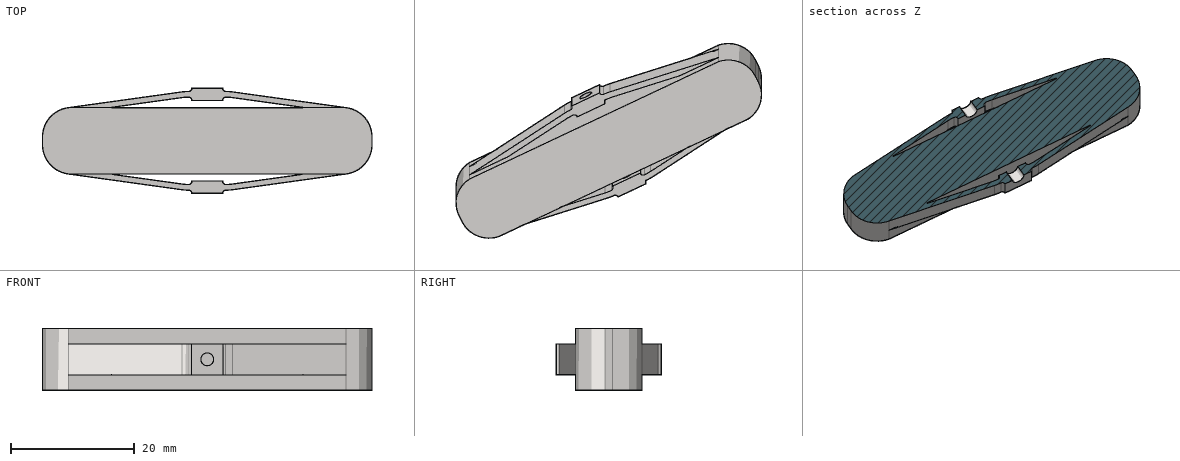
import cadquery as cq
import math

body_length = 53.25
body_width = 10.75
body_height = 10.0
end_flat = 1.15
end_corner_length = 4.25

overall_width = 17.0
arm_height = 5.0
arm_thickness = 0.95
arm_angle = math.radians(7.9)
neck_start = 4.1
pad_length = 5.0
pad_thickness = 2.0
pad_fillet = 0.5
hole_diameter = 2.1

half_length = body_length / 2
half_width = body_width / 2
arm_root = half_length - end_corner_length
pad_outer = overall_width / 2
pad_inner = pad_outer - pad_thickness
pad_half = pad_length / 2
neck_end = pad_half + pad_fillet


def make_body():
    """Block whose end corners are arcs that leave the flat end tangentially."""
    corner_rise = (body_width - end_flat) / 2
    radius = (end_corner_length**2 + corner_rise**2) / (2 * end_corner_length)
    middle_angle = math.asin(corner_rise / radius) / 2
    arc_x = half_length - radius * (1 - math.cos(middle_angle))
    arc_y = end_flat / 2 + radius * math.sin(middle_angle)
    return (
        cq.Workplane("XY")
        .moveTo(-arm_root, half_width)
        .lineTo(arm_root, half_width)
        .threePointArc((arc_x, arc_y), (half_length, end_flat / 2))
        .lineTo(half_length, -end_flat / 2)
        .threePointArc((arc_x, -arc_y), (arm_root, -half_width))
        .lineTo(-arm_root, -half_width)
        .threePointArc((-arc_x, -arc_y), (-half_length, -end_flat / 2))
        .lineTo(-half_length, end_flat / 2)
        .threePointArc((-arc_x, arc_y), (-arm_root, half_width))
        .close()
        .extrude(body_height / 2, both=True)
    )


def make_half_spring():
    """Right half of the +Y spring, from the pad centre to the arm root."""
    slope = math.tan(arm_angle)
    neck_radius = (neck_start - neck_end) / math.sin(arm_angle)
    neck_rise = neck_radius * (1 - math.cos(arm_angle))
    neck_mid_x = neck_end + neck_radius * math.sin(arm_angle / 2)
    neck_mid_drop = neck_radius * (1 - math.cos(arm_angle / 2))
    fillet_offset = pad_fillet * (1 - math.sqrt(0.5))
    fillet_mid_x = pad_half + fillet_offset

    outer_start = half_width + (arm_root - neck_start) * slope
    outer_neck = outer_start + neck_rise
    inner_start = outer_start - arm_thickness
    inner_neck = outer_neck - arm_thickness
    inner_root = arm_root - arm_thickness / slope

    return (
        cq.Workplane("XY")
        .moveTo(0, pad_outer)
        .lineTo(pad_half, pad_outer)
        .lineTo(pad_half, outer_neck + pad_fillet)
        .threePointArc((fillet_mid_x, outer_neck + fillet_offset), (neck_end, outer_neck))
        .threePointArc((neck_mid_x, outer_neck - neck_mid_drop), (neck_start, outer_start))
        .lineTo(arm_root, half_width)
        .lineTo(inner_root, half_width)
        .lineTo(neck_start, inner_start)
        .threePointArc((neck_mid_x, inner_neck - neck_mid_drop), (neck_end, inner_neck))
        .threePointArc((fillet_mid_x, inner_neck - fillet_offset), (pad_half, inner_neck - pad_fillet))
        .lineTo(pad_half, pad_inner)
        .lineTo(0, pad_inner)
        .close()
        .extrude(arm_height / 2, both=True)
    )


def make_spring():
    """Complete +Y spring with the hole through its pad."""
    half = make_half_spring()
    hole = (
        cq.Workplane("XZ", origin=(0, pad_outer, 0))
        .circle(hole_diameter / 2)
        .extrude(pad_thickness)
    )
    return half.union(half.mirror("YZ")).cut(hole)


spring = make_spring()
result = make_body().union(spring).union(spring.mirror("XZ"))